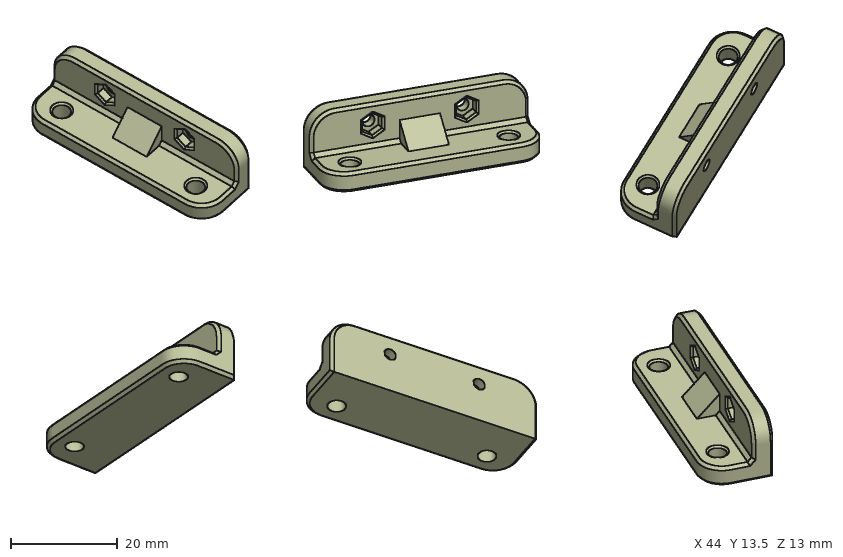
import cadquery as cq
import math

length = 44.0
depth = 13.5
height = 13.0
wall_thickness = 4.2
base_thickness = 4.1
corner_radius = 5.0
edge_chamfer = 0.6
inner_bevel = 0.8

gusset_width = 8.15
gusset_leg = 4.55

hole_chamfer = 0.4

base_hole_diameter = 3.5
base_hole_spacing = 32.0
base_hole_from_front = 4.55

bolt_diameter = 2.4
bolt_spacing = 18.95
bolt_height = 8.55
nut_across_flats = 4.0
nut_pocket_depth = 2.1

back_y = depth / 2
front_y = -depth / 2
wall_y = back_y - wall_thickness


def extrude_section(points, width):
    """Extrude a closed (Y, Z) outline along X, symmetrically about X = 0."""
    return cq.Workplane("YZ").polyline(points).close().extrude(width / 2, both=True)


def make_bracket():
    """L-section with rounded free corners and chamfered outer edges."""
    body = extrude_section(
        [
            (back_y, 0),
            (front_y, 0),
            (front_y, base_thickness),
            (wall_y - inner_bevel, base_thickness),
            (wall_y, base_thickness + inner_bevel),
            (wall_y, height),
            (back_y, height),
        ],
        length,
    )
    body = body.faces("<Y").edges("|Z").fillet(corner_radius)
    body = body.faces(">Z").edges("|Y").fillet(corner_radius)

    convex_rims = (
        body.faces("<X or >X").edges("not(|X)")
        .add(body.edges("%CIRCLE"))
        .add(body.faces("<Y or >Z").edges("|X"))
    )
    return convex_rims.chamfer(edge_chamfer)


def make_gusset():
    """Triangular prism filling the middle of the inner corner, sunk into both plates."""
    overlap = base_thickness / 2
    return extrude_section(
        [
            (wall_y - gusset_leg, base_thickness),
            (wall_y - gusset_leg, base_thickness - overlap),
            (wall_y + overlap, base_thickness - overlap),
            (wall_y + overlap, base_thickness + gusset_leg),
            (wall_y, base_thickness + gusset_leg),
        ],
        gusset_width,
    )


def make_base_hole(x):
    """Vertical through hole with a chamfered mouth on the upper face of the base."""
    radius = base_hole_diameter / 2
    position = (x, front_y + base_hole_from_front, 0)
    hole = cq.Workplane("XY", origin=position).circle(radius).extrude(base_thickness)
    mouth = cq.Solid.makeCone(
        radius,
        radius + hole_chamfer,
        hole_chamfer,
        pnt=cq.Vector(position[0], position[1], base_thickness - hole_chamfer),
    )
    return hole.union(cq.Workplane(mouth))


def make_nut_hole(x):
    """Through hole with a point-up hexagonal pocket and a chamfered mouth in the wall."""
    plane = cq.Plane(origin=(x, wall_y, bolt_height), xDir=(0, 0, 1), normal=(0, 1, 0))
    across_corners = nut_across_flats / math.cos(math.pi / 6)
    mouth_across_corners = (nut_across_flats + 2 * hole_chamfer) / math.cos(math.pi / 6)

    hole = cq.Workplane(plane).circle(bolt_diameter / 2).extrude(wall_thickness)
    pocket = cq.Workplane(plane).polygon(6, across_corners).extrude(nut_pocket_depth)
    mouth = (
        cq.Workplane(plane)
        .polygon(6, mouth_across_corners)
        .workplane(offset=hole_chamfer)
        .polygon(6, across_corners)
        .loft(ruled=True)
    )
    return hole.union(pocket).union(mouth)


result = make_bracket().union(make_gusset())
for side in (-1, 1):
    result = result.cut(make_base_hole(side * base_hole_spacing / 2))
    result = result.cut(make_nut_hole(side * bolt_spacing / 2))